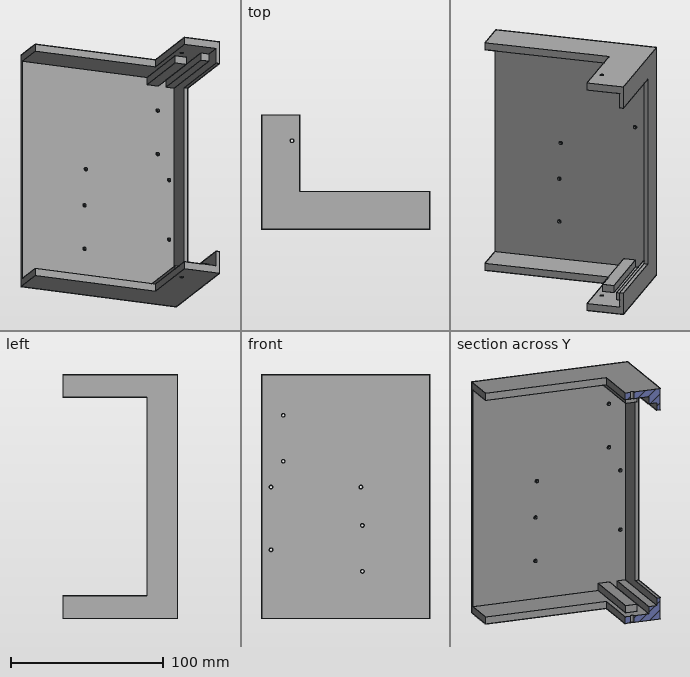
import cadquery as cq

width = 110.0
depth = 75.0
height = 160.0

flange_width = 25.0
flange_height = 15.0
flange_thickness = 5.0
wall_thickness = 2.5
column_depth = 20.0

block_start_x = 13.8
block_width = 8.0
block_end_y = 51.0
block_height = 5.0
rib_inner_x = 8.3
rib_end_y = 62.7

hole_diameter = 2.2
flange_hole_x = 19.8
flange_hole_y = 58.0
pair_x = (14.0, 66.0)
pair_top_z = (133.3, 61.1)
pair_spacing = 30.0
side_pair_x = 6.0
side_pair_z = (86.2, 45.1)
single_hole = (65.0, 86.2)


def box(x_range, y_range, z_range):
    """Box spanning the given coordinate ranges."""
    (x0, x1), (y0, y1), (z0, z1) = x_range, y_range, z_range
    return cq.Workplane("XY").box(x1 - x0, y1 - y0, z1 - z0, centered=False).translate((x0, y0, z0))


def stiffened_flange():
    """Bottom flange with its stiffening block and the rib along the side wall."""
    outline = [
        (0, 0), (width, 0), (width, flange_width),
        (flange_width, flange_width), (flange_width, depth), (0, depth),
    ]
    flange = cq.Workplane("XY").polyline(outline).close().extrude(flange_thickness)
    block = box(
        (block_start_x, block_start_x + block_width),
        (0, block_end_y),
        (0, flange_thickness + block_height),
    )
    rib = box((0, rib_inner_x), (0, rib_end_y), (0, flange_thickness + block_height))
    return flange.union(block).union(rib)


def side_wall():
    """C-shaped wall closing the left side."""
    wall = box((0, wall_thickness), (0, depth), (0, height))
    window = box((0, wall_thickness), (column_depth, depth), (flange_height, height - flange_height))
    return wall.cut(window)


def front_holes():
    """Drills through the front plate."""
    centers = [(x, z - drop) for x, z in zip(pair_x, pair_top_z) for drop in (0, pair_spacing)]
    centers += [(side_pair_x, z) for z in side_pair_z]
    centers.append(single_hole)
    return cq.Workplane("XZ").pushPoints(centers).circle(hole_diameter / 2).extrude(-wall_thickness)


bottom_flange = stiffened_flange()
top_flange = bottom_flange.mirror("XY").translate((0, 0, height))
front_plate = box((0, width), (0, wall_thickness), (0, height))
flange_holes = (
    cq.Workplane("XY").center(flange_hole_x, flange_hole_y).circle(hole_diameter / 2).extrude(height)
)

result = (
    front_plate.union(side_wall())
    .union(bottom_flange)
    .union(top_flange)
    .cut(front_holes())
    .cut(flange_holes)
)